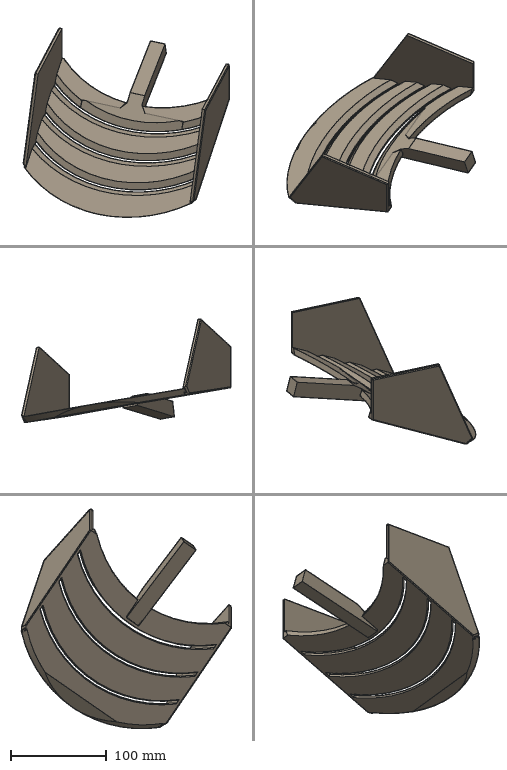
import cadquery as cq
import math

WIDTH = 188.0
HEIGHT = 110.0
FLOOR_ANGLE = 25.0
FLOOR_THICKNESS = 6.4
ARC_RADIUS = 139.2
NOSE_UNDERCUT = 5.0
BACK_ARC_RADIUS = 129.2
BACK_ARC_PLACE = 130.8

SLOT_COUNT = 3
FIRST_SLOT = 33.8
SLOT_PITCH = 34.8
SLOT_THROAT_WIDTH = 2.4
SLOT_BOTTOM_WIDTH = 4.4
SLOT_THROAT_HEIGHT = 2.2
SLOT_TOP_WIDTH = 14.7

SIDE_THICKNESS = 3.8
SIDE_CHAMFER = 1.0
SIDE_FRONT_BEVEL = 4.0
BACK_Y = 150.0
SIDE_TOP_FRONT_Y = 71.5
SIDE_FRONT_Y = 31.6
SIDE_BOTTOM_FRONT_Y = 37.5

HANDLE_ANGLE = 15.0
HANDLE_WIDTH = 16.1
HANDLE_THICKNESS = 16.5
HANDLE_END_Y = 198.8
HANDLE_END_Z = 64.5
HANDLE_FRONT_Y = 102.0

FACET_ANGLE = 33.0
FACET_Y = 112.3
FLARE_WIDTH = 27.0
FLARE_BACK_Y = 119.5

ROOT_BEVEL_RADIUS = 167.0
ROOT_BEVEL_TOP = 115.9
ROOT_BEVEL_RUN = 10.7
ROOT_BEVEL_WIDTH = 111.3

slope = math.tan(math.radians(FLOOR_ANGLE))
facet_slope = math.tan(math.radians(FACET_ANGLE))
vertical_thickness = FLOOR_THICKNESS / math.cos(math.radians(FLOOR_ANGLE))
inner_width = WIDTH - 2 * SIDE_THICKNESS
last_slot_center = FIRST_SLOT + (SLOT_COUNT - 1) * SLOT_PITCH + ARC_RADIUS

floor_plane = cq.Plane(
    origin=(0, 0, 0),
    xDir=(1, 0, 0),
    normal=(0, -math.sin(math.radians(FLOOR_ANGLE)), math.cos(math.radians(FLOOR_ANGLE))),
)


def floor_z(y):
    """Height of the upper floor face."""
    return y * slope


def facet_z(y):
    """Height of the facet plane."""
    return floor_z(FACET_Y) + (y - FACET_Y) * facet_slope


def yz_prism(points, width):
    """Prism with a Y-Z outline, centred across the part."""
    return cq.Workplane("YZ").polyline(points).close().extrude(width / 2, both=True)


def arc_cone(center, bottom_radius, top_radius, bottom=-FLOOR_THICKNESS, top=0):
    """Conical plug square to the floor, centred at a distance up the slope."""
    base = floor_plane.toWorldCoords((0, center, bottom))
    solid = cq.Solid.makeCone(bottom_radius, top_radius, top - bottom, base, floor_plane.zDir)
    return cq.Workplane(obj=solid)


def floor_disk(center, radius):
    """Round plug square to the floor, reaching past both faces."""
    return cq.Workplane(floor_plane).center(0, center).circle(radius).extrude(FLOOR_THICKNESS, both=True)


def make_floor():
    nose = arc_cone(ARC_RADIUS, ARC_RADIUS - NOSE_UNDERCUT, ARC_RADIUS)
    back = floor_disk(BACK_ARC_PLACE + BACK_ARC_RADIUS, BACK_ARC_RADIUS)
    envelope = cq.Workplane("XY").box(
        inner_width + SIDE_THICKNESS, BACK_Y, HEIGHT, centered=(True, False, False)
    )
    floor = nose.cut(back).intersect(envelope)
    for index in range(SLOT_COUNT):
        floor = floor.cut(make_slot(FIRST_SLOT + index * SLOT_PITCH))
    return floor


def ring(center, bottom_width, top_width, bottom, top):
    """Tapered ring about the arc radius, with its width given at both ends."""
    outer = arc_cone(center, ARC_RADIUS + bottom_width / 2, ARC_RADIUS + top_width / 2, bottom, top)
    inner = arc_cone(center, ARC_RADIUS - bottom_width / 2, ARC_RADIUS - top_width / 2, bottom, top)
    return outer.cut(inner)


def make_slot(place):
    """Slot that narrows to a throat just above the lower floor face."""
    center = place + ARC_RADIUS
    throat = SLOT_THROAT_HEIGHT - FLOOR_THICKNESS
    upper = ring(center, SLOT_THROAT_WIDTH, SLOT_TOP_WIDTH, throat, 0)
    lower = ring(center, SLOT_BOTTOM_WIDTH, SLOT_THROAT_WIDTH, -FLOOR_THICKNESS, throat)
    return upper.union(lower)


def make_side():
    """Left side plate with chamfered rims."""
    outline = [
        (BACK_Y, HEIGHT),
        (SIDE_TOP_FRONT_Y, HEIGHT),
        (SIDE_FRONT_Y, floor_z(SIDE_FRONT_Y)),
        (SIDE_BOTTOM_FRONT_Y, floor_z(SIDE_BOTTOM_FRONT_Y) - vertical_thickness),
        (BACK_Y, floor_z(BACK_Y) - vertical_thickness),
    ]
    plate = cq.Workplane("YZ", origin=(-WIDTH / 2, 0, 0)).polyline(outline).close().extrude(SIDE_THICKNESS)
    rims = plate.faces("<X").edges().chamfer(SIDE_CHAMFER)
    front = (SIDE_FRONT_Y, floor_z(SIDE_FRONT_Y))
    lower = (SIDE_BOTTOM_FRONT_Y, floor_z(SIDE_BOTTOM_FRONT_Y) - vertical_thickness)
    length = math.dist(front, lower)
    bevel_plane = cq.Plane(
        origin=(-WIDTH / 2, *front),
        xDir=(1, 0, 0),
        normal=(0, (lower[0] - front[0]) / length, (lower[1] - front[1]) / length),
    )
    bevel = (
        cq.Workplane(bevel_plane)
        .polyline([(0, -SIDE_FRONT_BEVEL), (SIDE_THICKNESS, 0), (0, 0)])
        .close()
        .extrude(2 * length, both=True)
    )
    return rims.cut(bevel)


def make_handle():
    handle_slope = math.tan(math.radians(HANDLE_ANGLE))
    top_y = HANDLE_END_Y - HANDLE_THICKNESS * math.sin(math.radians(HANDLE_ANGLE))
    top_z = HANDLE_END_Z + HANDLE_THICKNESS * math.cos(math.radians(HANDLE_ANGLE))
    bend_y = (top_z - top_y * handle_slope - facet_z(0)) / (facet_slope - handle_slope)
    outline = [
        (HANDLE_END_Y, HANDLE_END_Z),
        (top_y, top_z),
        (bend_y, facet_z(bend_y)),
        (HANDLE_FRONT_Y, facet_z(HANDLE_FRONT_Y)),
        (HANDLE_FRONT_Y, HANDLE_END_Z - (HANDLE_END_Y - HANDLE_FRONT_Y) * handle_slope),
    ]
    return yz_prism(outline, HANDLE_WIDTH)


def make_flare():
    """Wedge that widens the handle root between the floor and the facet."""
    wedge = yz_prism(
        [
            (FACET_Y, floor_z(FACET_Y)),
            (FLARE_BACK_Y, facet_z(FLARE_BACK_Y)),
            (FLARE_BACK_Y, floor_z(FLARE_BACK_Y) - vertical_thickness),
            (FACET_Y, floor_z(FACET_Y) - vertical_thickness),
        ],
        FLARE_WIDTH,
    )
    plan = (
        cq.Workplane("XY")
        .moveTo(-FLARE_WIDTH / 2, FACET_Y)
        .lineTo(FLARE_WIDTH / 2, FACET_Y)
        .lineTo(HANDLE_WIDTH / 2, FLARE_BACK_Y)
        .lineTo(-HANDLE_WIDTH / 2, FLARE_BACK_Y)
        .close()
        .extrude(HEIGHT)
    )
    return wedge.intersect(plan)


def make_facet_cut():
    """Shallow wedge removed from the floor between the facet line and the first slot."""
    front_y = FACET_Y - HANDLE_WIDTH
    wedge = yz_prism(
        [(FACET_Y, floor_z(FACET_Y)), (front_y, floor_z(front_y)), (front_y, facet_z(front_y))],
        inner_width,
    )
    return wedge.intersect(floor_disk(last_slot_center, ARC_RADIUS))


def make_root_bevel():
    """Sliver between the last slot and the wider bevel below the handle."""
    kept = arc_cone(
        ROOT_BEVEL_TOP + ROOT_BEVEL_RADIUS, ROOT_BEVEL_RADIUS + ROOT_BEVEL_RUN, ROOT_BEVEL_RADIUS
    )
    sliver = floor_disk(last_slot_center, ARC_RADIUS).cut(kept)
    front_y = FACET_Y - HANDLE_WIDTH
    reach = cq.Workplane("XY").box(
        ROOT_BEVEL_WIDTH, FACET_Y - front_y, HEIGHT, centered=(True, False, False)
    )
    return sliver.intersect(reach.translate((0, front_y, 0)))


floor = make_floor()
left_side = make_side()
result = (
    floor.cut(make_facet_cut())
    .union(make_handle())
    .union(make_flare())
    .cut(make_root_bevel())
    .union(left_side)
    .union(left_side.mirror("YZ"))
)